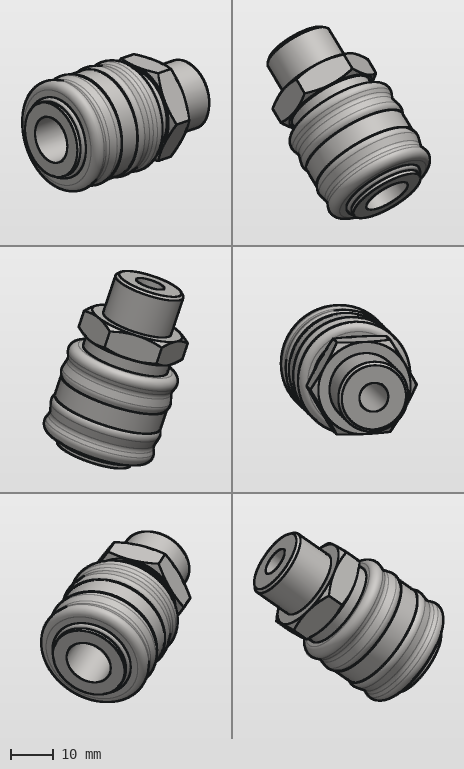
import cadquery as cq
import math

NOSE_END = 1.0
SLEEVE_FRONT = 2.0
SLEEVE_BACK = 24.0
HEX_FRONT = 27.0
HEX_BACK = 33.0
LENGTH = 43.0

NOSE_RADIUS = 9.0
COLLAR_RADIUS = 9.75
BAND_RADIUS = 13.0
NECK_RADIUS = 10.35
SPIGOT_RADIUS = 8.35
SPIGOT_CHAMFER = 0.7

HEX_FLATS = 22.0
HEX_CHAMFER_ANGLE = 30.0

GRIP_WIDTH = 8.5
SLEEVE_DIAMETER = 26.8
GROOVE_RADIUS = 12.75
GRIP_ROUND = 1.9
INNER_CREST_OFFSET = 1.4
GROOVE_OFFSET = 4.2

SOCKET_RADIUS = 5.55
SOCKET_DEPTH = 20.0
SEAT_RADIUS = 4.5
BORE_RADIUS = 3.45


def cylinder(radius, start, end):
    """Cylinder about the Y axis between two stations."""
    plane = cq.Workplane("XZ", origin=(0, start, 0))
    return plane.circle(radius).extrude(start - end)


def revolve_about_y(profile):
    return profile.close().revolve(360, (0, 0, 0), (0, 1, 0))


def arc_point(center, angle, direction=1):
    """Point on a grip round; the angle is measured from the radial direction."""
    return (
        center[0] + direction * GRIP_ROUND * math.cos(angle),
        center[1] + direction * GRIP_ROUND * math.sin(angle),
    )


def tangent_angle(crest, groove):
    """Size of the angle from radial to the normal of the line touching both rounds."""
    radial_gap = groove[0] - crest[0]
    axial_gap = abs(groove[1] - crest[1])
    center_distance = math.hypot(radial_gap, axial_gap)
    return math.atan2(axial_gap, radial_gap) - math.acos(2 * GRIP_ROUND / center_distance)


def rear_grip():
    """Ring whose crests and groove are joined by common tangent lines."""
    crest_center_radius = SLEEVE_DIAMETER / 2 - GRIP_ROUND
    inner_end = SLEEVE_BACK - GRIP_WIDTH
    inner = (crest_center_radius, inner_end + INNER_CREST_OFFSET)
    outer = (crest_center_radius, SLEEVE_BACK - GRIP_ROUND)
    groove = (GROOVE_RADIUS + GRIP_ROUND, SLEEVE_BACK - GROOVE_OFFSET)

    inner_slope = tangent_angle(inner, groove)
    outer_slope = -tangent_angle(outer, groove)
    inner_end_angle = -math.asin(INNER_CREST_OFFSET / GRIP_ROUND)

    profile = (
        cq.Workplane("XY")
        .moveTo(0, inner_end)
        .lineTo(*arc_point(inner, inner_end_angle))
        .threePointArc(arc_point(inner, 0), arc_point(inner, inner_slope))
        .lineTo(*arc_point(groove, inner_slope, -1))
        .threePointArc(arc_point(groove, 0, -1), arc_point(groove, outer_slope, -1))
        .lineTo(*arc_point(outer, outer_slope))
        .threePointArc(arc_point(outer, math.pi / 4), arc_point(outer, math.pi / 2))
        .lineTo(0, SLEEVE_BACK)
    )
    return revolve_about_y(profile)


def sleeve():
    """Plain band between two mirrored grip rings."""
    rear = rear_grip()
    middle = (SLEEVE_FRONT + SLEEVE_BACK) / 2
    front = rear.mirror("XZ", (0, middle, 0))
    band = cylinder(BAND_RADIUS, SLEEVE_FRONT + GRIP_WIDTH, SLEEVE_BACK - GRIP_WIDTH)
    return band.union(rear).union(front)


def hexagon():
    """Hexagon with corners on X, chamfered by a cone at each end."""
    flat_radius = HEX_FLATS / 2
    corner_radius = flat_radius / math.cos(math.pi / 6)
    chamfer_length = (corner_radius - flat_radius) * math.tan(math.radians(HEX_CHAMFER_ANGLE))
    prism = (
        cq.Workplane("XZ", origin=(0, HEX_FRONT, 0))
        .polygon(6, 2 * corner_radius)
        .extrude(HEX_FRONT - HEX_BACK)
    )
    envelope = revolve_about_y(
        cq.Workplane("XY")
        .moveTo(0, HEX_FRONT)
        .lineTo(flat_radius, HEX_FRONT)
        .lineTo(corner_radius, HEX_FRONT + chamfer_length)
        .lineTo(corner_radius, HEX_BACK - chamfer_length)
        .lineTo(flat_radius, HEX_BACK)
        .lineTo(0, HEX_BACK)
    )
    return prism.intersect(envelope)


def nose():
    """Front nose with a collar whose front edge is rounded down to it."""
    collar = cylinder(COLLAR_RADIUS, NOSE_END, SLEEVE_FRONT)
    collar = collar.faces("<Y").edges().fillet(COLLAR_RADIUS - NOSE_RADIUS)
    return cylinder(NOSE_RADIUS, 0, SLEEVE_FRONT).union(collar)


def spigot():
    body = cylinder(SPIGOT_RADIUS, HEX_BACK, LENGTH)
    return body.faces(">Y").edges().chamfer(SPIGOT_CHAMFER)


def stepped_bore():
    """Socket, 45 degree cone to a flat seat, then the through bore."""
    seat_depth = SOCKET_DEPTH + SOCKET_RADIUS - SEAT_RADIUS
    return revolve_about_y(
        cq.Workplane("XY")
        .lineTo(SOCKET_RADIUS, 0)
        .lineTo(SOCKET_RADIUS, SOCKET_DEPTH)
        .lineTo(SEAT_RADIUS, seat_depth)
        .lineTo(BORE_RADIUS, seat_depth)
        .lineTo(BORE_RADIUS, LENGTH)
        .lineTo(0, LENGTH)
    )


neck = cylinder(NECK_RADIUS, SLEEVE_BACK, HEX_FRONT)
body = nose().union(sleeve()).union(neck).union(hexagon()).union(spigot())
result = body.cut(stepped_bore())